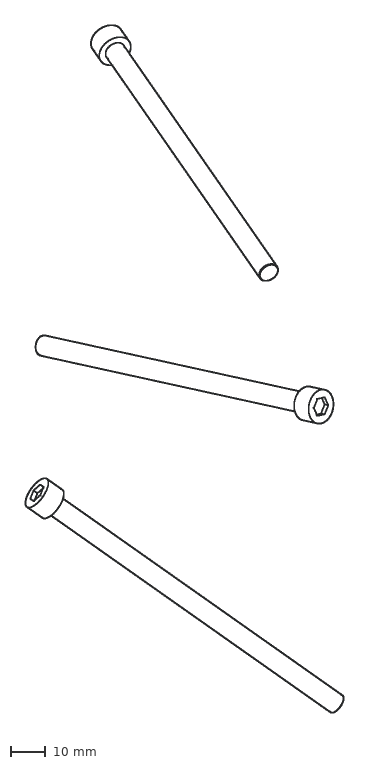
import cadquery as cq
import math

total_length = 116.0
head_diameter = 10.0
head_length = 6.0
shank_diameter = 6.0
tip_chamfer = 0.2
socket_across_flats = 5.0
socket_depth = 1.5


def make_head():
    return cq.Workplane("YZ").circle(head_diameter / 2).extrude(head_length)


def make_shank():
    shank = cq.Workplane("YZ").circle(shank_diameter / 2).extrude(total_length)
    return shank.faces(">X").chamfer(tip_chamfer)


def make_socket():
    across_corners = socket_across_flats / math.cos(math.pi / 6)
    return cq.Workplane("YZ").polygon(6, across_corners).extrude(socket_depth)


result = make_head().union(make_shank()).cut(make_socket())